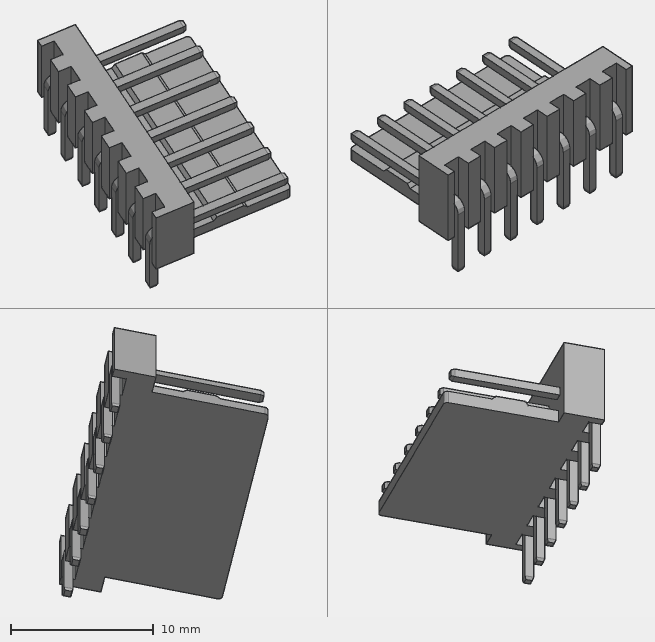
import cadquery as cq


pin_count = 7
pitch = 2.54

housing_length = pin_count * pitch
housing_depth = 3.0
housing_height = 5.9
slot_width = 1.34
slot_depth = 1.0

plate_length = 15.3
plate_end_y = 11.4
plate_thickness = 0.95
plate_corner_radius = 0.3
ridge_start_y = 5.22
ridge_end_y = 7.9
ridge_height = 0.3
ridge_slope_run = 0.27

pin_size = 0.64
pin_top_z = 2.72
pin_bottom_z = -3.4
pin_end_y = 11.0
bend_inner_radius = 0.28
bend_outer_radius = bend_inner_radius + pin_size
tip_length = 0.25
tip_inset = 0.08

pin_positions = [(i - (pin_count - 1) / 2) * pitch for i in range(pin_count)]


def make_housing():
    """Block with one full-height slot in its front face for each pin."""
    housing = cq.Workplane("XY").box(
        housing_length, housing_depth, housing_height, centered=(True, False, False)
    )
    slots = (
        cq.Workplane("XY")
        .pushPoints([(x, slot_depth / 2) for x in pin_positions])
        .rect(slot_width, slot_depth)
        .extrude(housing_height)
    )
    return housing.cut(slots)


def make_lock_plate():
    """Flat plate behind the housing with rounded rear corners and a trapezoidal ridge."""
    ridge_top_z = plate_thickness + ridge_height
    return (
        cq.Workplane("YZ")
        .moveTo(housing_depth, 0)
        .lineTo(plate_end_y, 0)
        .lineTo(plate_end_y, plate_thickness)
        .lineTo(ridge_end_y, plate_thickness)
        .lineTo(ridge_end_y - ridge_slope_run, ridge_top_z)
        .lineTo(ridge_start_y + ridge_slope_run, ridge_top_z)
        .lineTo(ridge_start_y, plate_thickness)
        .lineTo(housing_depth, plate_thickness)
        .close()
        .extrude(plate_length / 2, both=True)
        .edges("|Z and >Y")
        .fillet(plate_corner_radius)
    )


def make_tip(end_face):
    """Blunt square taper standing on the given end face of a pin."""
    tip_size = pin_size - 2 * tip_inset
    return (
        cq.Workplane(end_face)
        .rect(pin_size, pin_size)
        .workplane(offset=tip_length)
        .rect(tip_size, tip_size)
        .loft(ruled=True)
    )


def make_pin():
    """Square pin at x = 0: a tail running down, a right-angle bend and a contact running back."""
    half_pin = pin_size / 2
    contact_z = pin_top_z - half_pin
    shaft_end_y = pin_end_y - tip_length
    shaft_bottom_z = pin_bottom_z + tip_length
    bend_z = pin_top_z - bend_outer_radius
    shaft = (
        cq.Workplane("YZ")
        .moveTo(0, shaft_bottom_z)
        .lineTo(0, bend_z)
        .radiusArc((bend_outer_radius, pin_top_z), bend_outer_radius)
        .lineTo(shaft_end_y, pin_top_z)
        .lineTo(shaft_end_y, pin_top_z - pin_size)
        .lineTo(bend_outer_radius, pin_top_z - pin_size)
        .radiusArc((pin_size, bend_z), -bend_inner_radius)
        .lineTo(pin_size, shaft_bottom_z)
        .close()
        .extrude(half_pin, both=True)
    )
    contact_end = cq.Plane(origin=(0, shaft_end_y, contact_z), xDir=(1, 0, 0), normal=(0, 1, 0))
    tail_end = cq.Plane(origin=(0, half_pin, shaft_bottom_z), xDir=(1, 0, 0), normal=(0, 0, -1))
    return shaft.union(make_tip(contact_end)).union(make_tip(tail_end))


result = make_housing().union(make_lock_plate())
pin = make_pin()
for pin_x in pin_positions:
    result = result.union(pin.translate((pin_x, 0, 0)))